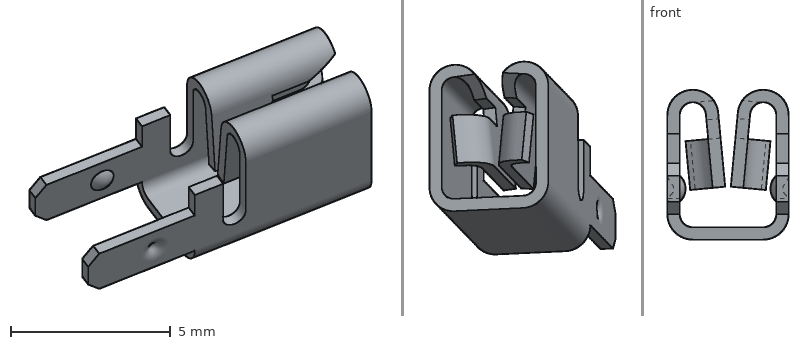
import cadquery as cq
import math

width = 3.81
height = 4.7
length = 10.16
sheet = 0.4
bend_outer = 0.8
bend_inner = bend_outer - sheet

loop_length = 4.51
slot_width = 0.81
post_length = 1.02
loop_front = length - loop_length
post_back = loop_front - slot_width
post_front = post_back - post_length

slot_bottom = 1.3
post_top = 3.32
blade_bottom = bend_outer
blade_top = 2.4
blade_chamfer = 0.4

arm_lean = 5.4
arm_length = 2.33
bend_x = width / 2 - bend_outer
bend_z = height - bend_outer
lean_sin = math.sin(math.radians(arm_lean))
lean_cos = math.cos(math.radians(arm_lean))
arm_tip_x = bend_x - bend_outer * lean_cos - arm_length * lean_sin
arm_tip_z = bend_z + bend_outer * lean_sin - arm_length * lean_cos

tab_height = 1.54
slit_width = 0.61
slit_top = tab_height + slit_width
slit_length = 2.35
flare_length = 1.22
flare_angle = 67.0
flare_inner = 0.68
flare_outer = flare_inner + sheet
flare_straight = 0.33

slant_top = arm_length + bend_inner
slant_length = 1.02

dimple_y = 2.4
dimple_z = (blade_bottom + blade_top) / 2
dome_radius = 0.41
dome_height = 0.18
dent_mouth = 0.48
dent_bowl = 0.15
dent_slope = 45.0


def side_blank():
    """Right half of the strip in cross section, run along the whole length."""
    wall_x = width / 2
    diagonal = math.sqrt(0.5)
    top_middle_angle = math.radians(90 - arm_lean / 2)
    mid_x = math.cos(top_middle_angle)
    mid_z = math.sin(top_middle_angle)

    def bottom_mid(radius):
        return (bend_x + radius * diagonal, bend_outer - radius * diagonal)

    def top_mid(radius):
        return (bend_x + radius * mid_x, bend_z + radius * mid_z)

    def top_end(radius):
        return (bend_x - radius * lean_cos, bend_z + radius * lean_sin)

    return (
        cq.Workplane("XZ")
        .moveTo(0, 0)
        .lineTo(bend_x, 0)
        .threePointArc(bottom_mid(bend_outer), (wall_x, bend_outer))
        .lineTo(wall_x, bend_z)
        .threePointArc(top_mid(bend_outer), top_end(bend_outer))
        .lineTo(arm_tip_x, arm_tip_z)
        .lineTo(arm_tip_x + sheet * lean_cos, arm_tip_z - sheet * lean_sin)
        .lineTo(*top_end(bend_inner))
        .threePointArc(top_mid(bend_inner), (wall_x - sheet, bend_z))
        .lineTo(wall_x - sheet, bend_outer)
        .threePointArc(bottom_mid(bend_inner), (bend_x, sheet))
        .lineTo(0, sheet)
        .close()
        .extrude(-length)
    )


def side_outline():
    """Side profile that trims the blank: loop, slot, post and blade."""
    slot_radius = slot_width / 2
    slot_center_z = slot_bottom + slot_radius
    return (
        cq.Workplane("YZ")
        .moveTo(length, 0)
        .lineTo(length, height)
        .lineTo(loop_front, height)
        .lineTo(loop_front, slot_center_z)
        .threePointArc((loop_front - slot_radius, slot_bottom), (post_back, slot_center_z))
        .lineTo(post_back, post_top)
        .lineTo(post_front, post_top)
        .lineTo(post_front, blade_top)
        .lineTo(blade_chamfer, blade_top)
        .lineTo(0, blade_top - blade_chamfer)
        .lineTo(0, blade_bottom + blade_chamfer)
        .lineTo(blade_chamfer, blade_bottom)
        .lineTo(post_front, blade_bottom)
        .lineTo(post_front, 0)
        .close()
        .extrude(width)
    )


def arm_clearance():
    """Block that clears the arm away in front of the loop."""
    return (
        cq.Workplane("XY")
        .workplane(offset=bend_outer)
        .moveTo(0, 0)
        .lineTo(width / 2 - sheet, 0)
        .lineTo(width / 2 - sheet, loop_front)
        .lineTo(0, loop_front)
        .close()
        .extrude(height)
    )


def arm_plane():
    """Plane at the arm tip: x across the sheet from the mating face, y toward +Y."""
    return cq.Plane(
        origin=(arm_tip_x, 0, arm_tip_z),
        xDir=(lean_cos, 0, -lean_sin),
        normal=(lean_sin, 0, lean_cos),
    )


def arm_block(start, end, from_y):
    """Block enclosing the arm between two heights along it, from from_y to the +Y end."""
    block_width = 1.1 * sheet
    return (
        cq.Workplane(arm_plane())
        .workplane(offset=start)
        .center(sheet / 2, (from_y + length) / 2)
        .rect(block_width, length - from_y)
        .extrude(end - start)
    )


def slant_cut():
    """Wedge square to the arm that cuts the +Y end of its upper part back to the slit."""
    side_plane = cq.Plane(
        origin=(arm_tip_x, 0, arm_tip_z),
        xDir=(0, 1, 0),
        normal=(lean_cos, 0, -lean_sin),
    )
    return (
        cq.Workplane(side_plane)
        .workplane(offset=-sheet)
        .moveTo(length, slant_top)
        .lineTo(length - slant_length, slit_top)
        .lineTo(length - slant_length, tab_height)
        .lineTo(length, tab_height)
        .close()
        .extrude(sheet + bend_outer)
    )


def flare():
    """Curved and straight end of the tab, bent away from the mating face."""
    start_y = length - flare_length
    turn = math.radians(flare_angle)

    def on_arc(radius, angle):
        return (flare_outer - radius * math.cos(angle), start_y + radius * math.sin(angle))

    def straight_end(radius):
        x, y = on_arc(radius, turn)
        return (x + flare_straight * math.sin(turn), y + flare_straight * math.cos(turn))

    return (
        cq.Workplane(arm_plane())
        .moveTo(0, start_y)
        .threePointArc(on_arc(flare_outer, turn / 2), on_arc(flare_outer, turn))
        .lineTo(*straight_end(flare_outer))
        .lineTo(*straight_end(flare_inner))
        .lineTo(*on_arc(flare_inner, turn))
        .threePointArc(on_arc(flare_inner, turn / 2), (sheet, start_y))
        .close()
        .extrude(tab_height)
    )


def turned(profile):
    """Revolve a (depth from outer face, radius) half profile about the dimple axis."""
    return (
        profile.close()
        .revolve(360, (0, 0, 0), (1, 0, 0))
        .translate((width / 2, dimple_y, dimple_z))
    )


def dimple_dome():
    """Spherical cap on the inner face, rooted halfway into the sheet."""
    sphere_radius = (dome_radius**2 + dome_height**2) / (2 * dome_height)
    base_x = -sheet
    root_x = base_x / 2
    top_x = base_x - dome_height
    half = math.asin(dome_radius / sphere_radius) / 2
    mid = (top_x + sphere_radius * (1 - math.cos(half)), sphere_radius * math.sin(half))
    profile = (
        cq.Workplane("XY")
        .moveTo(top_x, 0)
        .threePointArc(mid, (base_x, dome_radius))
        .lineTo(root_x, dome_radius)
        .lineTo(root_x, 0)
    )
    return turned(profile)


def dimple_dent():
    """Rounded lip flaring into a round bowl, tangent where they meet."""
    slope = math.radians(dent_slope)
    lip_radius = (dent_mouth - dent_bowl) / math.sin(slope)
    bowl_radius = dent_bowl / math.sin(slope)
    lip_depth = lip_radius * (1 - math.cos(slope))
    depth = lip_depth + bowl_radius * (1 - math.cos(slope))
    lip_mid = (
        -lip_radius * (1 - math.cos(slope / 2)),
        dent_mouth - lip_radius * math.sin(slope / 2),
    )
    bowl_mid = (
        -depth + bowl_radius * (1 - math.cos(slope / 2)),
        bowl_radius * math.sin(slope / 2),
    )
    profile = (
        cq.Workplane("XY")
        .moveTo(0, 0)
        .lineTo(0, dent_mouth)
        .threePointArc(lip_mid, (-lip_depth, dent_bowl))
        .threePointArc(bowl_mid, (-depth, 0))
    )
    return turned(profile)


half = side_blank().intersect(side_outline())
half = half.cut(arm_clearance())
half = half.cut(arm_block(0, tab_height, length - flare_length))
half = half.cut(arm_block(tab_height, slit_top, length - slit_length))
half = half.cut(slant_cut())
half = half.union(flare())
half = half.union(dimple_dome()).cut(dimple_dent())
result = half.union(half.mirror("YZ"))